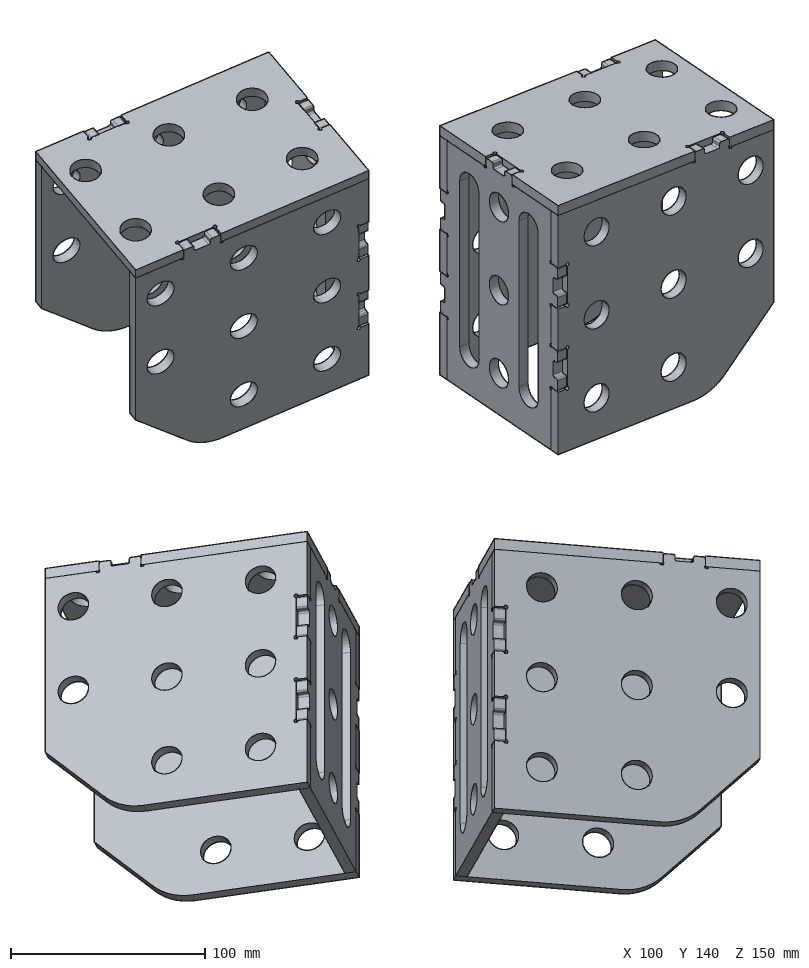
import cadquery as cq

height = 150.0
depth = 140.0
pitch = height / 3
edge_margin = pitch / 2
width = 2 * pitch
plate = 6.0

hole_diameter = 16.2
corner_cut = 40.0
corner_radius = 30.0

tab_to_top = 22.2
tab_to_side = 24.5
tab_recess = 0.6
tab_length = plate - tab_recess
tab_notch_width = 9.8
tab_notch_depth = 3.6
tab_round = 1.0
tab_clearance = 0.2
slot_relief_radius = 1.0
root_relief_radius = 1.0
root_relief_offset = 0.8

inner_half_width = width / 2 - plate
shelf_height = height - plate
back_face = depth / 2
front_face = -depth / 2

column_xs = [-pitch / 2, pitch / 2]
row_ys = [back_face - edge_margin - row * pitch for row in range(3)]
row_zs = [height - edge_margin - row * pitch for row in range(3)]

side_tab_y = back_face - 2 * pitch
back_tab_zs = [height - pitch, height - 2 * pitch]

side_plane = cq.Plane(origin=(0, 0, 0), xDir=(0, 1, 0), normal=(1, 0, 0))
back_plane = cq.Plane(origin=(0, back_face, 0), xDir=(1, 0, 0), normal=(0, -1, 0))
top_plane = cq.Plane(origin=(0, 0, shelf_height), xDir=(1, 0, 0), normal=(0, 0, 1))


def place(shape, root, direction):
    """Turn a shape that points along local +Y towards `direction` degrees and move it to its root."""
    return shape.rotate((0, 0, 0), (0, 0, 1), direction).translate((root[0], root[1], 0))


def tab(tab_width):
    """Forked tab, root centred at the origin, pointing along +Y."""
    half = tab_width / 2
    notch_half = tab_notch_width / 2
    notch_floor = tab_length - tab_notch_depth
    outline = [
        (-half, -plate / 2),
        (half, -plate / 2),
        (half, tab_length),
        (notch_half, tab_length),
        (notch_half, notch_floor),
        (-notch_half, notch_floor),
        (-notch_half, tab_length),
        (-half, tab_length),
    ]
    body = cq.Workplane().polyline(outline).close().extrude(plate)
    rounded = cq.selectors.BoxSelector((-tab_width, 0, -plate), (tab_width, plate, 2 * plate))
    return body.edges("|Z").edges(rounded).fillet(tab_round)


def tab_reliefs(tab_width):
    """Two relief holes beside the root of a tab that points along +Y."""
    x = tab_width / 2 + root_relief_offset
    return cq.Workplane().pushPoints([(-x, 0), (x, 0)]).circle(root_relief_radius).extrude(plate)


def slot(tab_width):
    """Open edge slot, mouth along +Y at the origin, with relieved inner corners."""
    half = tab_width / 2 + tab_clearance
    corners = [(-half, -plate), (half, -plate)]
    reliefs = cq.Workplane().pushPoints(corners).circle(slot_relief_radius).extrude(plate)
    mouth = cq.Workplane().rect(2 * half, 2 * plate).extrude(plate)
    return mouth.union(reliefs)


def add_tab(blank, tab_width, root, direction):
    with_tab = blank.union(place(tab(tab_width), root, direction))
    return with_tab.cut(place(tab_reliefs(tab_width), root, direction))


def cut_slot(blank, tab_width, mouth, direction):
    return blank.cut(place(slot(tab_width), mouth, direction))


def hole_cutter(centres):
    return cq.Workplane().pushPoints(centres).circle(hole_diameter / 2).extrude(plate)


def stand(flat, plane):
    """Move a plate modelled flat on XY onto its plane."""
    return cq.Workplane(flat.val().moved(cq.Location(plane)))


def top_plate():
    flat = cq.Workplane().rect(width, depth).extrude(plate)
    flat = flat.cut(hole_cutter([(x, y) for x in column_xs for y in row_ys]))
    flat = cut_slot(flat, tab_to_top, (-width / 2, side_tab_y), 90)
    flat = cut_slot(flat, tab_to_top, (width / 2, side_tab_y), -90)
    flat = cut_slot(flat, tab_to_top, (0, back_face), 0)
    return stand(flat, top_plane)


def side_plate(x):
    """Side plate whose low-X face lies at x."""
    outline = [
        (back_face, 0),
        (back_face, shelf_height),
        (front_face, shelf_height),
        (front_face, corner_cut),
        (front_face + corner_cut, 0),
    ]
    flat = cq.Workplane().polyline(outline).close().extrude(plate)
    lower_corner = cq.selectors.NearestToPointSelector((front_face + corner_cut, 0, plate / 2))
    flat = flat.edges("|Z").edges(lower_corner).fillet(corner_radius)

    lower_front = (row_ys[-1], row_zs[-1])
    grid = [(y, z) for y in row_ys for z in row_zs if (y, z) != lower_front]
    flat = flat.cut(hole_cutter(grid))

    flat = add_tab(flat, tab_to_top, (side_tab_y, shelf_height), 0)
    for z in back_tab_zs:
        flat = cut_slot(flat, tab_to_side, (back_face, z), -90)
    return stand(flat, side_plane).translate((x, 0, 0))


def back_plate():
    flat = cq.Workplane().rect(2 * inner_half_width, shelf_height).extrude(plate)
    flat = flat.translate((0, shelf_height / 2, 0))
    flat = flat.cut(hole_cutter([(0, z) for z in row_zs]))

    slot_length = row_zs[0] - row_zs[-1] + hole_diameter
    slot_centres = [(x, row_zs[1]) for x in column_xs]
    long_slots = cq.Workplane().pushPoints(slot_centres).slot2D(slot_length, hole_diameter, 90)
    flat = flat.cut(long_slots.extrude(plate))

    flat = add_tab(flat, tab_to_top, (0, shelf_height), 0)
    for z in back_tab_zs:
        flat = add_tab(flat, tab_to_side, (-inner_half_width, z), 90)
        flat = add_tab(flat, tab_to_side, (inner_half_width, z), -90)
    return stand(flat, back_plane)


top = top_plate()
back = back_plate()
sides = [side_plate(x) for x in (-width / 2, inner_half_width)]

result = cq.Compound.makeCompound([top.val(), back.val(), *[side.val() for side in sides]])